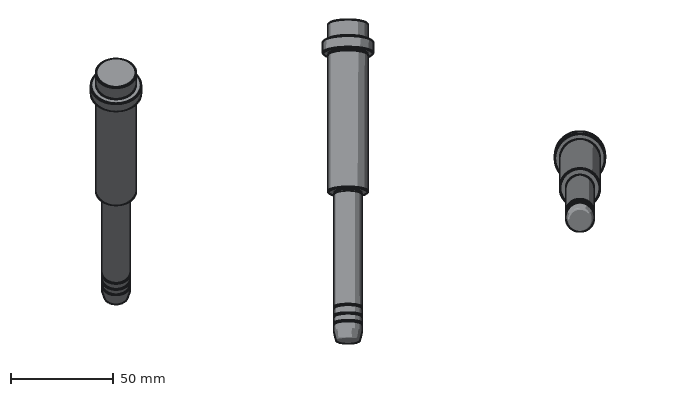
import cadquery as cq

total_length = 160.0
collar_top = 151.0
collar_height = 6.0
body_bottom = 75.0
taper_height = 5.0
groove_centers = (8.6, 12.5, 16.8)

collar_diameter = 25.0
body_diameter = 20.0
pin_diameter = 14.0
tip_diameter = 11.7

edge_chamfer = 0.56
collar_chamfer = 0.5
tip_fillet = 1.0
relief_height = 1.0
relief_depth = 0.3
groove_width = 1.0
groove_floor_width = 0.3
groove_depth = 0.3


def cylinder(diameter, bottom, top):
    """Upright cylinder on the Z axis between two heights."""
    return cq.Workplane("XY").workplane(offset=bottom).circle(diameter / 2).extrude(top - bottom)


def ring(profile):
    """Solid of revolution about the Z axis from a closed (radius, height) outline."""
    return cq.Workplane("XZ").polyline(profile).close().revolve(360, (0, 0), (0, 1))


body = cylinder(body_diameter, body_bottom, total_length).faces("<Z or >Z").chamfer(edge_chamfer)
collar_bottom = collar_top - collar_height
collar = cylinder(collar_diameter, collar_bottom, collar_top).faces("<Z or >Z").chamfer(collar_chamfer)

body_radius = body_diameter / 2
relief_radius = body_radius - relief_depth
for collar_face, direction in ((collar_top, 1), (collar_bottom, -1)):
    slope_start = collar_face + direction * (relief_height - relief_depth)
    slope_end = collar_face + direction * relief_height
    relief_profile = [
        (relief_radius, collar_face),
        (relief_radius, slope_start),
        (body_radius, slope_end),
        (body_radius, collar_face),
    ]
    body = body.cut(ring(relief_profile))

pin_radius = pin_diameter / 2
neck_bottom = body_bottom - relief_height
pin = cylinder(pin_diameter, taper_height, neck_bottom)
neck = cylinder(pin_diameter - 2 * relief_depth, neck_bottom, body_bottom)

for center in groove_centers:
    groove_profile = [
        (pin_radius, center - groove_width / 2),
        (pin_radius - groove_depth, center - groove_floor_width / 2),
        (pin_radius - groove_depth, center + groove_floor_width / 2),
        (pin_radius, center + groove_width / 2),
    ]
    pin = pin.cut(ring(groove_profile))

tip = (
    cq.Workplane("XY")
    .circle(tip_diameter / 2)
    .workplane(offset=taper_height)
    .circle(pin_diameter / 2)
    .loft(ruled=True)
    .faces("<Z")
    .edges()
    .fillet(tip_fillet)
)

result = body.union(collar).union(neck).union(pin).union(tip)